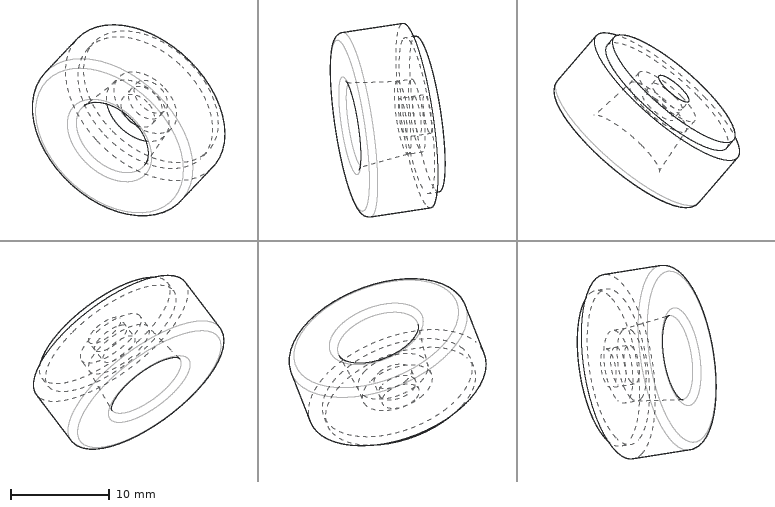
import cadquery as cq

outer_diameter = 19.0
total_depth = 8.1
pad_diameter = 16.04
pad_thickness = 1.1
mouth_diameter = 8.8
floor_diameter = 7.49
floor_depth = 5.51
hole_diameter = 3.99
edge_radius = 0.7

housing_depth = total_depth - pad_thickness
washer_thickness = housing_depth - floor_depth


def make_ring(diameter, thickness, front):
    """Flat ring with the screw hole, extending toward +Y from its front face."""
    return (
        cq.Workplane("XZ", origin=(0, front, 0))
        .circle(diameter / 2)
        .circle(hole_diameter / 2)
        .extrude(-thickness)
    )


def make_housing():
    """Round foot with a tapered bore, a washer seat behind it and rounded front edges."""
    outer_radius = outer_diameter / 2
    floor_radius = floor_diameter / 2
    body = (
        cq.Workplane("XY")
        .moveTo(mouth_diameter / 2, 0)
        .lineTo(outer_radius, 0)
        .lineTo(outer_radius, housing_depth)
        .lineTo(floor_radius, housing_depth)
        .lineTo(floor_radius, floor_depth)
        .close()
        .revolve(360, (0, 0, 0), (0, 1, 0))
    )
    return body.faces("<Y").edges().fillet(edge_radius)


def make_washer():
    """Washer that fills the seat and forms the floor of the bore."""
    return make_ring(floor_diameter, washer_thickness, floor_depth)


def make_pad():
    """Thin pad on the back of the housing and washer."""
    return make_ring(pad_diameter, pad_thickness, housing_depth)


housing = make_housing()
washer = make_washer()
pad = make_pad()

result = cq.Compound.makeCompound([housing.val(), washer.val(), pad.val()])